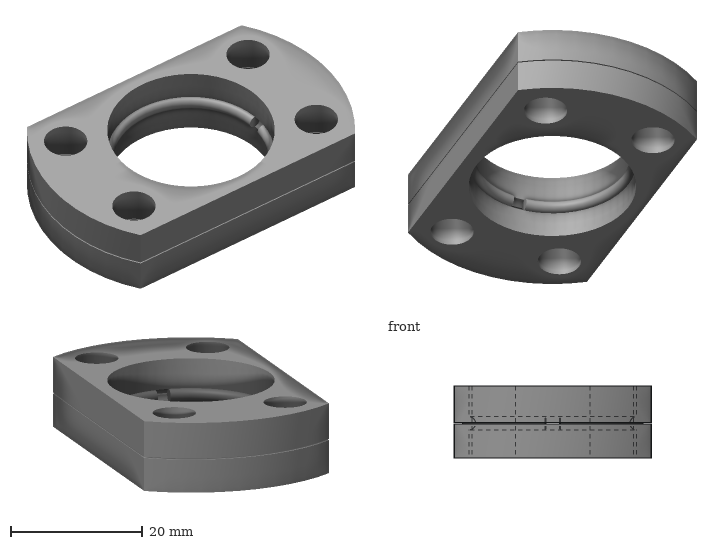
import cadquery as cq

flange_diameter = 50.0
flange_width = 30.0

lower_plate_thickness = 5.2
plate_gap = 0.2
upper_plate_thickness = 5.6
upper_plate_z = lower_plate_thickness + plate_gap

bore_diameter = 25.5
ring_wire_radius = 1.0
ring_center_z = lower_plate_thickness + plate_gap / 2
ring_gap_angle = 10.0
ring_half_angle = 180.0 - ring_gap_angle

hole_diameter = 6.6
hole_spacing_x = 18.0
hole_spacing_y = 34.0


def plate(bottom_z, thickness):
    """Disc with flats facing -X and +X, drilled with the central bore and the mounting holes."""
    base = cq.Workplane("XY", origin=(0, 0, bottom_z))
    disc = base.circle(flange_diameter / 2).extrude(thickness)
    flats = base.rect(flange_width, flange_diameter).extrude(thickness)
    bore = base.circle(bore_diameter / 2).extrude(thickness)
    mounting_holes = (
        base.rect(hole_spacing_x, hole_spacing_y, forConstruction=True)
        .vertices()
        .circle(hole_diameter / 2)
        .extrude(thickness)
    )
    return disc.intersect(flats).cut(bore).cut(mounting_holes)


def ring_segment(sweep_angle, middle_angle):
    """Round wire bent about Z along the bore wall, centred on the middle angle measured from +X."""
    bore_radius = bore_diameter / 2
    segment = (
        cq.Workplane("XZ")
        .center(bore_radius, ring_center_z)
        .circle(ring_wire_radius)
        .revolve(sweep_angle, (-bore_radius, 0), (-bore_radius, 1))
    )
    return segment.rotate((0, 0, 0), (0, 0, 1), middle_angle - sweep_angle / 2)


lower_plate = plate(0.0, lower_plate_thickness)
upper_plate = plate(upper_plate_z, upper_plate_thickness)
body = lower_plate.add(upper_plate).combine()

for half_middle_angle in (0.0, 180.0):
    body = body.union(ring_segment(ring_half_angle, half_middle_angle))

for opening_middle_angle in (90.0, -90.0):
    body = body.cut(ring_segment(ring_gap_angle, opening_middle_angle))

result = body.solids()